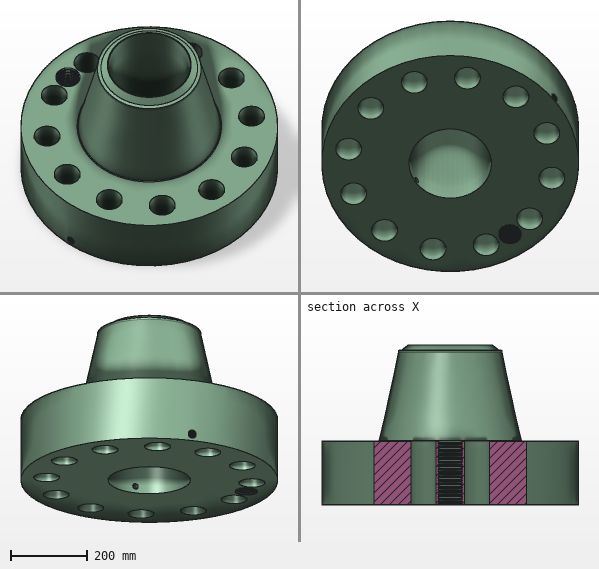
import cadquery as cq
import math

flange_radius = 336.5
flange_thickness = 167.0

overall_height = 419.5
bore_radius = 108.0
hub_base_radius = 189.0
hub_base_step = 1.7
hub_taper_base_radius = 186.5
hub_tip_radius = 136.0
weld_band_bottom = 399.0
weld_land_radius = 110.0
bevel_outer_radius = 126.5
bevel_angle = 37.5
shoulder_angle = 10.0

bolt_count = 12
bolt_circle_radius = 270.0
bolt_hole_diameter = 67.0

jack_minor_diameter = 57.0
jack_major_diameter = 63.0
jack_pitch = 6.0

tap_height = 18.0
tap_minor_diameter = 17.5
tap_major_diameter = 21.5
tap_pitch = 2.0
tap_turns = 12
tap_drill_diameter = 15.0


def threaded_hole(minor_diameter, major_diameter, pitch, turns):
    """Cutter for a tapped hole that enters at Z = 0 and runs downward.

    The thread is a stack of V-shaped ring grooves, one per pitch, with its widest edge at the entry.
    """
    minor_radius = minor_diameter / 2
    major_radius = major_diameter / 2
    profile = cq.Workplane("XZ").lineTo(major_radius, 0)
    for turn in range(turns):
        crest = -(turn + 0.5) * pitch
        profile = profile.lineTo(minor_radius, crest)
        profile = profile.lineTo(major_radius, crest - pitch / 2)
    return profile.lineTo(0, -turns * pitch).close().revolve(360, (0, 0, 0), (0, 1, 0))


def flange_body():
    bevel_bottom = overall_height - (bevel_outer_radius - weld_land_radius) * math.tan(
        math.radians(bevel_angle))
    band_top = bevel_bottom - (hub_tip_radius - bevel_outer_radius) * math.tan(
        math.radians(shoulder_angle))
    return (
        cq.Workplane("XZ")
        .moveTo(bore_radius, 0)
        .lineTo(flange_radius, 0)
        .lineTo(flange_radius, flange_thickness)
        .lineTo(hub_base_radius, flange_thickness)
        .lineTo(hub_taper_base_radius, flange_thickness + hub_base_step)
        .lineTo(hub_tip_radius, weld_band_bottom)
        .lineTo(hub_tip_radius, band_top)
        .lineTo(bevel_outer_radius, bevel_bottom)
        .lineTo(weld_land_radius, overall_height)
        .lineTo(bore_radius, overall_height)
        .close()
        .revolve(360, (0, 0, 0), (0, 1, 0))
    )


def bolt_holes():
    half_spacing = 180 / bolt_count
    return (
        cq.Workplane("XY")
        .polarArray(bolt_circle_radius, half_spacing, 360, bolt_count)
        .circle(bolt_hole_diameter / 2)
        .extrude(flange_thickness)
    )


def jack_screw_hole():
    turns = math.ceil(flange_thickness / jack_pitch)
    cutter = threaded_hole(jack_minor_diameter, jack_major_diameter, jack_pitch, turns)
    return cutter.translate((-bolt_circle_radius, 0, flange_thickness))


def pressure_tap():
    """Tapped entry on the -Y side with a smaller drilling on into the bore."""
    thread = threaded_hole(tap_minor_diameter, tap_major_diameter, tap_pitch, tap_turns)
    drill_depth = flange_radius - bore_radius / 2
    drill = cq.Workplane("XY").circle(tap_drill_diameter / 2).extrude(-drill_depth)
    return (
        thread.union(drill)
        .rotate((0, 0, 0), (1, 0, 0), 90)
        .translate((0, -flange_radius, tap_height))
    )


result = flange_body().cut(bolt_holes()).cut(jack_screw_hole())
for side in (0, 180):
    result = result.cut(pressure_tap().rotate((0, 0, 0), (0, 0, 1), side))